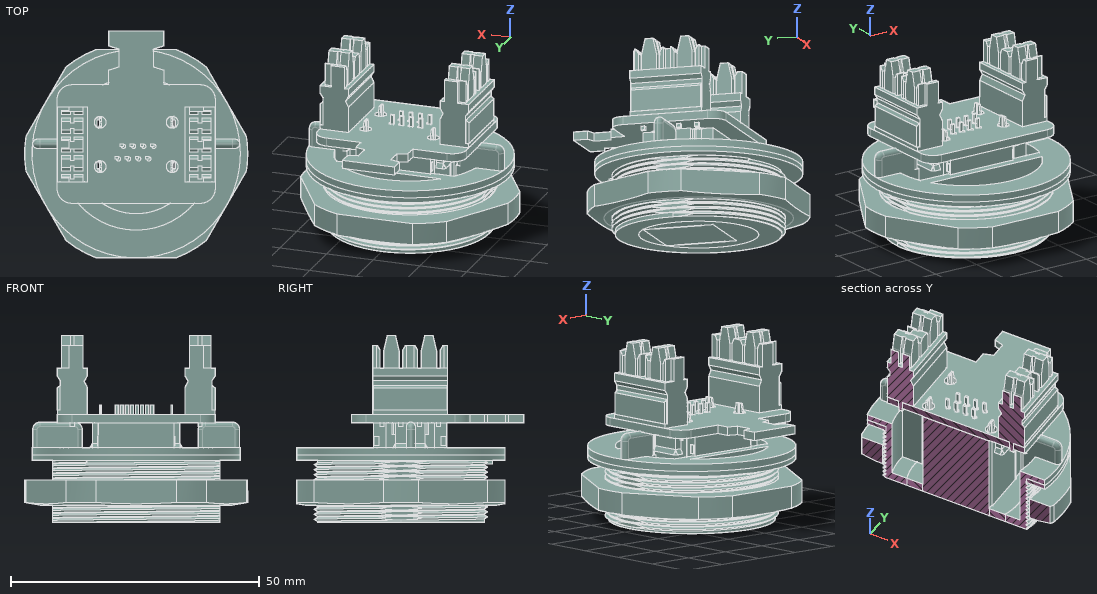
import cadquery as cq
import math


FLANGE_R = 21.0
FLANGE_BOTTOM, FLANGE_TOP = 13.53, 15.03
GASKET_BOTTOM = 12.5

THREAD_ROOT_R = 16.85
THREAD_CREST_R = 17.5
THREAD_PITCH = 1.0
THREAD_START = 0.35
THREAD_START_ANGLE = 180.0
THREAD_FLAT_X = 16.9

BORE_R = 15.4
FLOOR_T = 2.0
INSERT_R = 12.1

NUT_FLATS = 42.0
NUT_CORNER_R = 22.5
NUT_BOTTOM, NUT_TOP = 3.4, 8.53
NUT_CHAMFER_ANGLE = 10.0
NUT_CHAMFER_INNER_R = 19.1

BOARD_BOTTOM, BOARD_TOP = 20.03, 21.75
BOARD_HALF_X = 15.95
BOARD_FRONT, BOARD_BACK = -10.0, 13.9
BOARD_CORNER_R = 3.0

JACK_Y = 1.87
MID_Y = 2.0


def box(x0, x1, y0, y1, z0, z1):
    """Box between two opposite corners."""
    return cq.Workplane("XY").box(x1 - x0, y1 - y0, z1 - z0, centered=False).translate((x0, y0, z0))


def disc(radius, z0, z1, x=0, y=0):
    """Upright cylinder between two heights."""
    return cq.Workplane("XY").circle(radius).extrude(z1 - z0).translate((x, y, z0))


def mirrored(shape):
    """Copy of a shape on the other side of the YZ plane."""
    return shape.mirror("YZ")


JACK_END_HALF_X = 7.65
JACK_MID_HALF_X = 7.43
JACK_HALF_Y = 7.41
JACK_MID_HALF_Y = 4.9
PORT_MID_HALF_X = 7.85

LATCH_X0, LATCH_X1 = JACK_MID_HALF_X, 8.83
LATCH_HALF_Y = 2.97
LATCH_STEPS = ((3.71, 7.53), (3.41, 7.6))
LATCH_STEP_Z = 17.7
LATCH_FOOT_TOP = 15.9
LATCH_FOOT_BOTTOM = 14.9
LATCH_FOOT_ANGLE = 30.0

PAWL_Y, PAWL_Z = 6.75, 16.36
PAWL_WIDTH, PAWL_HEIGHT, PAWL_DEPTH = 1.0, 1.8, 0.18

CONTACT_TOP = 23.67
CONTACT_PITCH = 1.02
CONTACT_COUNT = 8
CONTACT_ROWS_Y = (-1.05, 1.49)
CONTACT_HOLE_R = 0.42
CONTACT_X, CONTACT_Y = 0.67, 0.45
CONTACT_SHIFT_X, CONTACT_SHIFT_Y = -0.35, 0.22

PEG_HOLE_R = 1.19
PEG_HOLE_X = 7.26
PEG_X = 7.19
PEG_SPACING_Y = 8.94
PEG_T = 0.36
PEG_SLIT_HALF = 0.15
PEG_BARB_Z = 21.9
PEG_ROOT_Y, PEG_BARB_Y, PEG_TIP_Y = 0.9, 1.1, 0.75

CONN_INNER, CONN_OUTER = 9.82, 15.95
CONN_HALF_Y = 7.57
CONN_TOP = 31.07
LIP_OUTER = 15.9
PAD_BACK = 15.3
PAD_MARGIN = 0.18
PAD_BOTTOM, PAD_CHAMFER_BOTTOM, PAD_TOP = 22.62, 27.05, 27.6
OUTER_NOTCH_BOTTOM, NOTCH_TOP = 28.55, 29.5
INNER_NOTCH_BOTTOM, INNER_NOTCH_MID, INNER_NOTCH_X = 27.2, 28.43, 10.45

TOOTH_PITCH = 3.78
TOOTH_X0, TOOTH_X1 = 10.71, 15.09
TALL_TOP, TALL_SHOULDER = 37.67, 34.5
TALL_HALF_Y, TALL_TIP_HALF_Y = 1.58, 0.85
SHORT_TOP, SHORT_SHOULDER = 35.67, 34.7
SHORT_HALF_Y, SHORT_TIP_HALF_Y = 1.52, 0.95
GROOVE_WIDTH = 0.78
TOOTH_WEB_HALF_Y = 0.58
SHORT_WEB_FRONT_Y = 0.88
SLOT_HALF_Y = 0.75
SLOT_X0 = 13.55

TAIL_COUNT = 4
TAIL_X = 12.88
TAIL_SIZE = 0.83
TAIL_BOTTOM = 19.3

WEB_INNER_HALF_Y, WEB_OUTER_HALF_Y = 6.85, 9.2
RAIL_T = 1.84
RAIL_TOP = 20.2
RAIL_OUTER_X = 20.87
RAIL_CORNER_R = 1.5
LEFT_RAIL_INNER_X, RIGHT_RAIL_INNER_X = 10.85, 12.49
KEY_HALF_X, KEY_Y0, KEY_Y1, KEY_BOTTOM = 1.5, 16.5, 18.5, 11.75


def make_thread():
    """Single-start right-hand V ridge, slightly sunk into the barrel."""
    height = GASKET_BOTTOM - THREAD_START
    sink = 0.1
    half_base = 0.47 * THREAD_PITCH
    helix = cq.Wire.makeHelix(THREAD_PITCH, height, THREAD_ROOT_R)
    ridge = (
        cq.Workplane("XZ")
        .polyline([
            (THREAD_ROOT_R - sink, -half_base),
            (THREAD_CREST_R, 0),
            (THREAD_ROOT_R - sink, half_base),
        ])
        .close()
        .sweep(cq.Workplane(obj=helix), isFrenet=True)
    )
    return ridge.rotate((0, 0, 0), (0, 0, 1), THREAD_START_ANGLE).translate((0, 0, THREAD_START))


def make_rail(inner_x):
    """Plate with fully rounded edges on the right side of the flange, and its square root in the bore."""
    y0, y1 = MID_Y - RAIL_T / 2, MID_Y + RAIL_T / 2
    rail = box(inner_x, RAIL_OUTER_X, y0, y1, FLANGE_TOP, RAIL_TOP)
    rail = rail.edges("|Y and >Z").fillet(RAIL_CORNER_R)
    round_r = 0.499 * RAIL_T
    rail = rail.faces("<Y or >Y").edges("not <Z").fillet(round_r)
    root_outer_x = (BORE_R + THREAD_ROOT_R) / 2
    return rail.union(box(inner_x, root_outer_x, y0, y1, FLOOR_T, FLANGE_TOP))


def jack_section(mid_half_x, z0, z1):
    """Jack outline, with wider front and back ends than its middle or the other way round."""
    ends = box(-JACK_END_HALF_X, JACK_END_HALF_X, JACK_Y - JACK_HALF_Y, JACK_Y + JACK_HALF_Y, z0, z1)
    middle_y = (JACK_Y - JACK_MID_HALF_Y, JACK_Y + JACK_MID_HALF_Y)
    if mid_half_x > JACK_END_HALF_X:
        return ends.union(box(-mid_half_x, mid_half_x, *middle_y, z0, z1))
    for side in (-1, 1):
        x0, x1 = sorted((side * mid_half_x, side * JACK_END_HALF_X))
        ends = ends.cut(box(x0, x1, *middle_y, z0, z1))
    return ends


def make_housing(rails):
    """Threaded barrel with flange, key, bore divided by two webs, and the side rails."""
    barrel_limits = box(-THREAD_FLAT_X, THREAD_FLAT_X, -FLANGE_R, FLANGE_R, 0, FLANGE_BOTTOM)
    thread_limits = box(-THREAD_FLAT_X, THREAD_FLAT_X, -FLANGE_R, FLANGE_R, 0, GASKET_BOTTOM)
    barrel = disc(THREAD_ROOT_R, 0, FLANGE_BOTTOM).intersect(barrel_limits)
    body = barrel.union(make_thread().intersect(thread_limits))
    body = body.union(disc(FLANGE_R, FLANGE_BOTTOM, FLANGE_TOP))
    body = body.union(box(-KEY_HALF_X, KEY_HALF_X, KEY_Y0, KEY_Y1, KEY_BOTTOM, GASKET_BOTTOM))

    bore = disc(BORE_R, FLOOR_T, FLANGE_TOP)
    for side in (-1, 1):
        y0, y1 = sorted((MID_Y + side * WEB_INNER_HALF_Y, MID_Y + side * WEB_OUTER_HALF_Y))
        bore = bore.cut(box(-BORE_R, BORE_R, y0, y1, FLOOR_T, FLANGE_TOP))
    body = body.cut(bore)
    body = body.cut(disc(INSERT_R, 0, FLOOR_T))
    body = body.cut(jack_section(JACK_MID_HALF_X, FLOOR_T, FLANGE_TOP))
    for rail in rails:
        body = body.union(rail)
    return body


def make_gasket():
    """Flat ring under the flange."""
    return disc(FLANGE_R, GASKET_BOTTOM, FLANGE_BOTTOM).cut(
        disc(THREAD_ROOT_R, GASKET_BOTTOM, FLANGE_BOTTOM)
    )


def make_nut():
    """Hex nut with rounded corners and a shallow conical bottom."""
    height = NUT_TOP - NUT_BOTTOM
    across_corners = NUT_FLATS / math.cos(math.radians(30))
    chamfer_rise = (NUT_CORNER_R - NUT_CHAMFER_INNER_R) * math.tan(math.radians(NUT_CHAMFER_ANGLE))
    blank = (
        cq.Workplane("XZ")
        .polyline([
            (THREAD_CREST_R, NUT_BOTTOM),
            (NUT_CHAMFER_INNER_R, NUT_BOTTOM),
            (NUT_CORNER_R, NUT_BOTTOM + chamfer_rise),
            (NUT_CORNER_R, NUT_TOP),
            (THREAD_CREST_R, NUT_TOP),
        ])
        .close()
        .revolve()
    )
    hexagon = cq.Workplane("XY").polygon(6, across_corners).extrude(height)
    return blank.intersect(hexagon.translate((0, 0, NUT_BOTTOM)))


def make_insert():
    """Round front plate in the housing floor with the port for the jack."""
    return disc(INSERT_R, 0, FLOOR_T).cut(jack_section(PORT_MID_HALF_X, 0, FLOOR_T))


def contact_holes():
    """Hole centres of the contacts, alternating between the two rows."""
    first_x = -CONTACT_PITCH * (CONTACT_COUNT - 1) / 2
    return [(first_x + i * CONTACT_PITCH, CONTACT_ROWS_Y[i % 2]) for i in range(CONTACT_COUNT)]


def make_contact(hole_x, hole_y):
    """Rectangular contact pin that stands off-centre in its hole."""
    x = hole_x + CONTACT_SHIFT_X
    y = hole_y + CONTACT_SHIFT_Y
    return box(
        x - CONTACT_X / 2, x + CONTACT_X / 2,
        y - CONTACT_Y / 2, y + CONTACT_Y / 2,
        BOARD_BOTTOM, CONTACT_TOP,
    )


def peg_rows():
    """Y positions of the snap pegs."""
    return [JACK_Y - PEG_SPACING_Y / 2, JACK_Y + PEG_SPACING_Y / 2]


def make_peg(y):
    """Split snap peg on the right side: two thin legs with barbs above the board."""
    leg = (
        cq.Workplane("YZ")
        .polyline([
            (PEG_SLIT_HALF, BOARD_BOTTOM),
            (PEG_ROOT_Y, BOARD_BOTTOM),
            (PEG_BARB_Y, PEG_BARB_Z),
            (PEG_TIP_Y, CONTACT_TOP),
            (PEG_SLIT_HALF, CONTACT_TOP),
        ])
        .close()
        .extrude(PEG_T)
        .translate((PEG_X - PEG_T / 2, 0, 0))
    )
    return leg.union(leg.mirror("XZ")).translate((0, y, 0))


def make_latch():
    """Latch on the right side of the jack with its flared foot and mounting blocks."""
    y0, y1 = JACK_Y - LATCH_HALF_Y, JACK_Y + LATCH_HALF_Y
    latch = box(LATCH_X0, LATCH_X1, y0, y1, LATCH_FOOT_TOP, BOARD_BOTTOM)
    foot_depth = LATCH_FOOT_TOP - LATCH_FOOT_BOTTOM
    foot = (
        cq.Workplane("XY", origin=((LATCH_X0 + LATCH_X1) / 2, JACK_Y, LATCH_FOOT_TOP))
        .rect(LATCH_X1 - LATCH_X0, y1 - y0)
        .extrude(-foot_depth, taper=-LATCH_FOOT_ANGLE)
    )
    keep = box(LATCH_X0, BORE_R, -BORE_R, BORE_R, LATCH_FOOT_BOTTOM, LATCH_FOOT_TOP)
    latch = latch.union(foot.intersect(keep))
    for half_y, outer_x in LATCH_STEPS:
        latch = latch.union(
            box(LATCH_X0, outer_x, JACK_Y - half_y, JACK_Y + half_y, LATCH_STEP_Z, BOARD_BOTTOM)
        )
    return latch


def make_jack():
    """Jack body with side latches, pawls, snap pegs and contacts."""
    jack = jack_section(JACK_MID_HALF_X, 0, BOARD_BOTTOM)
    latch = make_latch()
    jack = jack.union(latch).union(mirrored(latch))
    for side in (-1, 1):
        y = JACK_Y + side * PAWL_Y
        pawl = box(
            JACK_END_HALF_X, JACK_END_HALF_X + PAWL_DEPTH,
            y - PAWL_WIDTH / 2, y + PAWL_WIDTH / 2,
            PAWL_Z - PAWL_HEIGHT / 2, PAWL_Z + PAWL_HEIGHT / 2,
        )
        jack = jack.union(pawl).union(mirrored(pawl))
    for y in peg_rows():
        peg = make_peg(y)
        jack = jack.union(peg).union(mirrored(peg))
    for hole in contact_holes():
        jack = jack.union(make_contact(*hole))
    return jack


def make_tooth(index):
    """Tooth with tapered top and a groove down each face; odd ones are tall, even ones are slotted."""
    tall = index % 2 == 1
    top, shoulder = (TALL_TOP, TALL_SHOULDER) if tall else (SHORT_TOP, SHORT_SHOULDER)
    half, tip_half = (TALL_HALF_Y, TALL_TIP_HALF_Y) if tall else (SHORT_HALF_Y, SHORT_TIP_HALF_Y)
    tooth = (
        cq.Workplane("YZ")
        .polyline([
            (-half, CONN_TOP),
            (-half, shoulder),
            (-tip_half, top),
            (tip_half, top),
            (half, shoulder),
            (half, CONN_TOP),
        ])
        .close()
        .extrude(TOOTH_X1 - TOOTH_X0)
        .translate((TOOTH_X0, 0, 0))
    )
    front_web = TOOTH_WEB_HALF_Y if tall else SHORT_WEB_FRONT_Y
    groove_x = (TAIL_X - GROOVE_WIDTH / 2, TAIL_X + GROOVE_WIDTH / 2)
    tooth = tooth.cut(box(*groove_x, TOOTH_WEB_HALF_Y, half, CONN_TOP, top))
    tooth = tooth.cut(box(*groove_x, -half, -front_web, CONN_TOP, top))
    if not tall:
        tooth = tooth.cut(box(SLOT_X0, TOOTH_X1, -SLOT_HALF_Y, SLOT_HALF_Y, CONN_TOP, top))
    return tooth.translate((0, JACK_Y + index * TOOTH_PITCH, 0))


def make_tails():
    """Solder tails that pass through the board."""
    tails = []
    for row in range(TAIL_COUNT):
        y = JACK_Y + (row - (TAIL_COUNT - 1) / 2) * TOOTH_PITCH
        tails.append(
            box(
                TAIL_X - TAIL_SIZE / 2, TAIL_X + TAIL_SIZE / 2,
                y - TAIL_SIZE / 2, y + TAIL_SIZE / 2,
                TAIL_BOTTOM, BOARD_TOP,
            )
        )
    return tails


def make_connector():
    """Insulation-displacement connector on the right side of the board."""
    y0, y1 = JACK_Y - CONN_HALF_Y, JACK_Y + CONN_HALF_Y
    body = (
        cq.Workplane("XZ")
        .polyline([
            (CONN_INNER, BOARD_TOP),
            (LIP_OUTER, BOARD_TOP),
            (LIP_OUTER, PAD_BOTTOM),
            (PAD_BACK, PAD_BOTTOM),
            (PAD_BACK, OUTER_NOTCH_BOTTOM),
            (CONN_OUTER, NOTCH_TOP),
            (CONN_OUTER, CONN_TOP),
            (CONN_INNER, CONN_TOP),
            (CONN_INNER, NOTCH_TOP),
            (INNER_NOTCH_X, INNER_NOTCH_MID),
            (CONN_INNER, INNER_NOTCH_BOTTOM),
        ])
        .close()
        .extrude(-(y1 - y0))
        .translate((0, y0, 0))
    )
    pad = (
        cq.Workplane("XZ")
        .polyline([
            (PAD_BACK, PAD_BOTTOM),
            (CONN_OUTER, PAD_BOTTOM),
            (CONN_OUTER, PAD_CHAMFER_BOTTOM),
            (PAD_BACK, PAD_TOP),
        ])
        .close()
        .extrude(-(y1 - y0 - 2 * PAD_MARGIN))
        .translate((0, y0 + PAD_MARGIN, 0))
    )
    body = body.union(pad)
    span = box(CONN_INNER, CONN_OUTER, y0, y1, CONN_TOP, TALL_TOP)
    for index in range(-2, 3):
        body = body.union(make_tooth(index).intersect(span))
    for tail in make_tails():
        body = body.union(tail)
    return body


TAB_HALF_X, TAB_NECK_HALF_X = 5.57, 3.48
TAB_NECK_Y0, TAB_NECK_Y1 = 17.48, 21.05
TAB_TAPER = 0.66
TAB_END = 24.77


def make_board(rails):
    """Rounded board with a waisted tab at the back and holes for the pins."""
    thickness = BOARD_TOP - BOARD_BOTTOM
    board = box(
        -BOARD_HALF_X, BOARD_HALF_X, BOARD_FRONT, BOARD_BACK, BOARD_BOTTOM, BOARD_TOP
    ).edges("|Z").fillet(BOARD_CORNER_R)
    right_edge = [
        (TAB_HALF_X, BOARD_BACK - BOARD_CORNER_R),
        (TAB_HALF_X, TAB_NECK_Y0 - TAB_TAPER),
        (TAB_NECK_HALF_X, TAB_NECK_Y0),
        (TAB_NECK_HALF_X, TAB_NECK_Y1),
        (TAB_HALF_X, TAB_NECK_Y1 + TAB_TAPER),
        (TAB_HALF_X, TAB_END),
    ]
    left_edge = [(-x, y) for x, y in reversed(right_edge)]
    tab = cq.Workplane("XY").polyline(right_edge + left_edge).close().extrude(thickness)
    board = board.union(tab.translate((0, 0, BOARD_BOTTOM)))

    for y in peg_rows():
        for x in (-PEG_HOLE_X, PEG_HOLE_X):
            board = board.cut(disc(PEG_HOLE_R, BOARD_BOTTOM, BOARD_TOP, x, y))
    for x, y in contact_holes():
        board = board.cut(disc(CONTACT_HOLE_R, BOARD_BOTTOM, BOARD_TOP, x, y))
        board = board.cut(make_contact(x, y))
    for tail in make_tails():
        board = board.cut(tail).cut(mirrored(tail))
    for rail in rails:
        board = board.cut(rail)
    return board


side_rails = [mirrored(make_rail(LEFT_RAIL_INNER_X)), make_rail(RIGHT_RAIL_INNER_X)]

housing = make_housing(side_rails)
gasket = make_gasket()
nut = make_nut()
insert = make_insert()
jack = make_jack()
board = make_board(side_rails)
right_connector = make_connector()
connectors = [mirrored(right_connector), right_connector]

result = cq.Compound.makeCompound([
    housing.val(),
    gasket.val(),
    nut.val(),
    insert.val(),
    jack.val(),
    board.val(),
    *[connector.val() for connector in connectors],
])